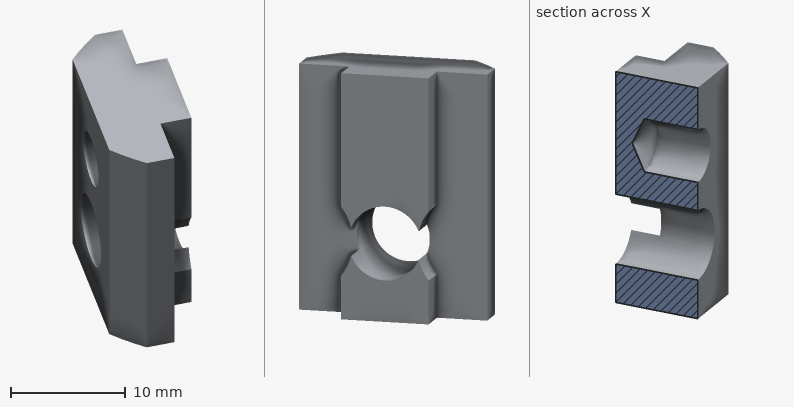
import cadquery as cq
import math

length = 22.0
body_width = 17.0
total_depth = 8.0

rib_width = 7.9
rib_height = 2.8
front_face_width = 12.0
side_face_depth = 2.5
flank_radius = 25.0

clearance_diameter = 6.6
clearance_height = 7.0
notch_radius = 5.0
notch_center_offset = 7.88

drill_diameter = 5.0
drill_height = 15.5
drill_depth = 5.2
drill_tip_diameter = 0.25
drill_point_angle = 130.0

shoulder_y = total_depth - rib_height
flank_top_y = shoulder_y - side_face_depth


def flank_middle(side):
    """Point halfway along the rounded flank on the given X side (-1 or +1)."""
    run = (body_width - front_face_width) / 2
    chord = math.hypot(run, flank_top_y)
    bulge = flank_radius - math.sqrt(flank_radius**2 - (chord / 2) ** 2)
    x = (body_width + front_face_width) / 4 + bulge * flank_top_y / chord
    y = flank_top_y / 2 - bulge * run / chord
    return (side * x, y)


def make_bar():
    """T-shaped bar with slightly rounded flanks along the front face."""
    half_body = body_width / 2
    half_front = front_face_width / 2
    half_rib = rib_width / 2
    return (
        cq.Workplane("XY")
        .moveTo(-half_front, 0)
        .lineTo(half_front, 0)
        .threePointArc(flank_middle(1), (half_body, flank_top_y))
        .lineTo(half_body, shoulder_y)
        .lineTo(half_rib, shoulder_y)
        .lineTo(half_rib, total_depth)
        .lineTo(-half_rib, total_depth)
        .lineTo(-half_rib, shoulder_y)
        .lineTo(-half_body, shoulder_y)
        .lineTo(-half_body, flank_top_y)
        .threePointArc(flank_middle(-1), (-half_front, 0))
        .close()
        .extrude(length)
    )


def cylinder_along_y(x, z, radius, start_y, end_y):
    """Cylinder parallel to Y, used as a cutter."""
    base = cq.Vector(x, start_y, z)
    return cq.Workplane(cq.Solid.makeCylinder(radius, end_y - start_y, base, cq.Vector(0, 1, 0)))


def make_blind_hole():
    """Drilled hole from the front face, ending in a blunt cone."""
    radius = drill_diameter / 2
    tip_radius = drill_tip_diameter / 2
    cone_depth = (radius - tip_radius) / math.tan(math.radians(drill_point_angle / 2))
    bore = cylinder_along_y(0, drill_height, radius, 0, drill_depth)
    cone_base = cq.Vector(0, drill_depth, drill_height)
    cone = cq.Solid.makeCone(radius, tip_radius, cone_depth, cone_base, cq.Vector(0, 1, 0))
    return bore.union(cq.Workplane(cone))


def make_rib_notch(side):
    """Round notch in the rib on the given X side (-1 or +1), down to the shoulder only."""
    center_x = side * notch_center_offset
    return cylinder_along_y(center_x, clearance_height, notch_radius, shoulder_y, total_depth)


clearance_hole = cylinder_along_y(0, clearance_height, clearance_diameter / 2, 0, total_depth)

result = make_bar().cut(clearance_hole).cut(make_blind_hole())
for notch_side in (-1, 1):
    result = result.cut(make_rib_notch(notch_side))